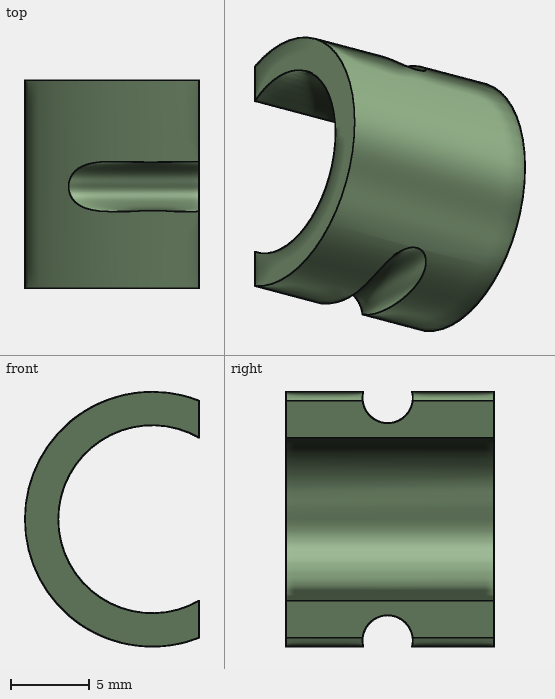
import cadquery as cq

outer_diameter = 16.3
bore_diameter = 12.0
sleeve_length = 13.3
opening_x = 3.0

groove_diameter = 3.2
groove_depth = 2.0
groove_offset = -0.15

outer_radius = outer_diameter / 2
overall_width = outer_radius + opening_x
groove_radius = groove_diameter / 2
groove_axis_z = outer_radius - groove_depth + groove_radius


def open_sleeve():
    """Tube along Y, cut off flat at the opening plane to leave a C section."""
    tube = (
        cq.Workplane("XZ")
        .circle(outer_radius)
        .circle(bore_diameter / 2)
        .extrude(sleeve_length / 2, both=True)
    )
    kept_side = cq.Workplane("XY").box(
        overall_width, sleeve_length, outer_diameter
    ).translate((opening_x - overall_width / 2, 0, 0))
    return tube.intersect(kept_side)


def groove_cutter(side):
    """Round bar along X, above (side = 1) or below (side = -1) the bore."""
    return (
        cq.Workplane("YZ")
        .center(groove_offset, side * groove_axis_z)
        .circle(groove_radius)
        .extrude(outer_diameter, both=True)
    )


result = open_sleeve()
for side in (1, -1):
    result = result.cut(groove_cutter(side))